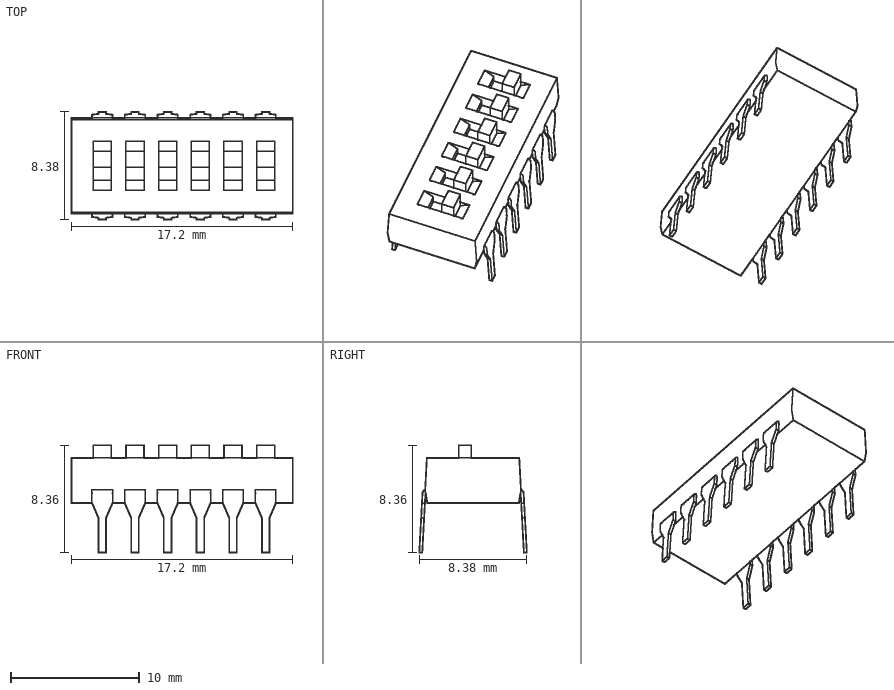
import cadquery as cq
import math


body_length = 17.22
body_height = 3.52
parting_height = 1.05
top_half_width = 3.6
parting_half_width = 3.73
bottom_half_width = 3.57

switch_count = 6
switch_pitch = 2.54
row_offset = 0.15
switch_positions = [
    row_offset + (index - (switch_count - 1) / 2) * switch_pitch for index in range(switch_count)
]

slot_width = 1.42
slot_half_length = 1.9
well_half_length = 1.13
lead_in_depth = 0.44
well_depth = 1.0

slider_length = 1.0
slider_protrusion = 1.0

pin_thickness = 0.25
pin_bend_radius = 0.3
pin_tip_depth = 3.84
pin_tip_half_span = 4.19
pin_splay = math.radians(3.1)
pin_root_half_span = 3.3
shoulder_width = 1.6
tip_width = 0.61
taper_end_depth = 1.14


def make_body():
    right_side = [
        (bottom_half_width, 0),
        (parting_half_width, parting_height),
        (top_half_width, body_height),
    ]
    left_side = [(-y, z) for y, z in reversed(right_side)]
    section = cq.Workplane("YZ").polyline(right_side + left_side).close()
    return section.extrude(body_length / 2, both=True)


def make_slot(x):
    lead_in_z = body_height - lead_in_depth
    floor_z = body_height - well_depth
    right_side = [
        (well_half_length, floor_z),
        (well_half_length, lead_in_z),
        (slot_half_length, body_height),
    ]
    left_side = [(-y, z) for y, z in reversed(right_side)]
    section = cq.Workplane("YZ").polyline(right_side + left_side).close()
    return section.extrude(slot_width / 2, both=True).translate((x, 0, 0))


def make_slider(x):
    height = well_depth + slider_protrusion
    slider = cq.Workplane("XY").box(slot_width, slider_length, height, centered=(True, False, False))
    return slider.translate((x, -well_half_length, body_height - well_depth))


def make_pin():
    """Pin on the +Y side at X = 0: bent strip trimmed to its tapering outline."""
    bend_centre_z = parting_height - pin_bend_radius
    normal_y = math.cos(pin_splay)
    normal_z = math.sin(pin_splay)
    outer_bend_z = bend_centre_z + pin_bend_radius * normal_z
    outer_bend_y = pin_tip_half_span - (outer_bend_z + pin_tip_depth) * math.tan(pin_splay)
    bend_centre_y = outer_bend_y - pin_bend_radius * normal_y
    inner_radius = pin_bend_radius - pin_thickness
    leg_thickness_y = pin_thickness / normal_y

    def on_bend(radius, angle):
        return (bend_centre_y + radius * math.cos(angle), bend_centre_z + radius * math.sin(angle))

    top_angle = math.pi / 2
    mid_angle = (top_angle + pin_splay) / 2
    strip = (
        cq.Workplane("YZ")
        .moveTo(pin_root_half_span, parting_height)
        .lineTo(*on_bend(pin_bend_radius, top_angle))
        .threePointArc(on_bend(pin_bend_radius, mid_angle), on_bend(pin_bend_radius, pin_splay))
        .lineTo(pin_tip_half_span, -pin_tip_depth)
        .lineTo(pin_tip_half_span - leg_thickness_y, -pin_tip_depth)
        .lineTo(*on_bend(inner_radius, pin_splay))
        .threePointArc(on_bend(inner_radius, mid_angle), on_bend(inner_radius, top_angle))
        .lineTo(pin_root_half_span, parting_height - pin_thickness)
        .close()
        .extrude(shoulder_width / 2, both=True)
    )

    right_edge = [
        (tip_width / 2, -pin_tip_depth),
        (tip_width / 2, -taper_end_depth),
        (shoulder_width / 2, 0),
        (shoulder_width / 2, parting_height),
    ]
    left_edge = [(-x, z) for x, z in reversed(right_edge)]
    outline = cq.Workplane("XZ").polyline(right_edge + left_edge).close()
    return strip.intersect(outline.extrude(pin_tip_half_span, both=True))


result = make_body()
pin = make_pin()
opposite_pin = pin.mirror("XZ")
for position in switch_positions:
    result = result.cut(make_slot(position)).union(make_slider(position))
    result = result.union(pin.translate((position, 0, 0)))
    result = result.union(opposite_pin.translate((position, 0, 0)))